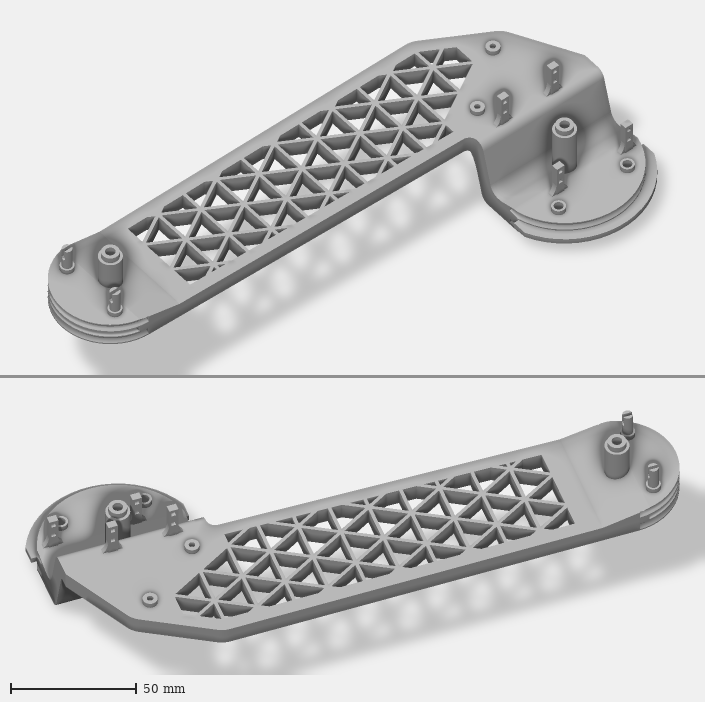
import cadquery as cq
import math

arm_z = 25.0
arm_thickness = 7.5
arm_top = arm_z + arm_thickness
plate_thickness = 4.5
core_thickness = 2.5
end_thickness = 2 * plate_thickness + core_thickness
hand_top_z = arm_z + end_thickness

hand_radius = 25.0
hand_x = hand_radius
hand_y = hand_radius
hand_chord_offset = 5.0
hand_ramp_length = 20.0
hand_chord_y = hand_y - hand_chord_offset
hand_ramp_y = hand_chord_y + hand_ramp_length
hand_core_radius = 19.5

arm_width = 2 * hand_radius
arm_elbow_x = 54.1
shoulder_low = (0.0, 201.0)
shoulder_mid = (18.6, 233.2)
shoulder_high_x = 50.0
shoulder_radius = 10.0
elbow_radius = 4.0

foot_x = 75.0
foot_y = 218.85
foot_radius = 32.3
foot_half_width = 31.2
foot_chord_offset = 8.0
foot_chord_x = foot_x + foot_chord_offset
foot_core_radius = 37.0
foot_core_half_width = 33.54
foot_core_gap = 0.8
foot_core_x = foot_chord_x + foot_core_gap
foot_low_y = foot_y - foot_half_width
foot_high_y = foot_y + foot_half_width

leg_lean = 15.0
leg_outer_x = 55.0
leg_inner_x = 61.1
leg_floor = 9.0
leg_ramp_x = 72.8
leg_ramp_end_x = 81.9
leg_bend_radius = 4.2
leg_inner_radius = 5.0
leg_ramp_radius = 8.0
leg_notch_radius = 1.5

groove_mouth = 3.3
groove_floor = 0.9
groove_depth = 1.6
hand_groove_lead = 0.7
foot_groove_lead = 3.5

lattice_rib = 1.5
lattice_smallest_hole = 0.6
lattice_row = 15.0
lattice_pitch = lattice_row / math.sin(math.radians(60))
lattice_base_y = 49.0
lattice_rows = 11
lattice_node_x = 16.4
lattice_border = 6.0
lattice_right_border = 5.6

post_diameter = 10.0
post_neck_diameter = 7.6
post_neck_height = 2.65
post_bore = 4.2
post_bore_depth = 10.0
post_root = 1.0
hand_post_height = 16.0
foot_post_height = 23.0

pin_spread = 15.0
pin_setback = 10.0
pin_y = hand_y - pin_setback
pin_diameter = 4.4
pin_height = 12.2
pin_slot_width = 1.4
pin_slot_depth = 5.3
pin_keyhole_diameter = 2.1

boss_diameter = 6.0
boss_height = 2.3
arm_boss_bore = 2.6
arm_bosses = [(24.4, 223.5), (45.6, 198.0)]
foot_hole_diameter = 4.0
foot_hole_offset = 17.8

clip_thickness = 3.1
clip_width = 3.9
clip_height = 14.8
clip_window = 1.9
clip_window_drops = [2.3, 8.0]
clip_flare_thickness = 2.3
clip_flare_height = 5.0
clip_flare_width = 8.4
clip_flare_bulge_reach = 0.8
clip_flare_bulge_height = 2.0
arm_clip_x = 56.4
arm_clip_ys = [202.3, 228.1]
foot_clip_x = 84.7
foot_clip_ys = [207.6, 243.0]


def arm_right_x(y):
    """Right edge of the tapered arm at a given y."""
    return arm_width + (arm_elbow_x - arm_width) * (y - hand_y) / (foot_low_y - hand_y)


def box(x0, x1, y0, y1, z0, z1):
    return cq.Workplane("XY").box(x1 - x0, y1 - y0, z1 - z0, centered=False).translate((x0, y0, z0))


def disc(x, y, z, diameter, height):
    return cq.Workplane("XY", origin=(x, y, z)).circle(diameter / 2).extrude(height)


def plan_prism(z0, z1):
    """Arm and leg outline seen from above, from the hand to the foot chord."""
    corners = [shoulder_low, shoulder_mid, (arm_elbow_x, foot_low_y)]
    radii = [shoulder_radius, shoulder_radius, elbow_radius]
    prism = (
        cq.Workplane("XY", origin=(0, 0, z0))
        .moveTo(0, hand_y)
        .threePointArc((hand_x, hand_y - hand_radius), (arm_width, hand_y))
        .lineTo(arm_elbow_x, foot_low_y)
        .lineTo(foot_chord_x, foot_low_y)
        .lineTo(foot_chord_x, foot_high_y)
        .lineTo(shoulder_high_x, foot_high_y)
        .lineTo(*shoulder_mid)
        .lineTo(*shoulder_low)
        .close()
        .extrude(z1 - z0)
    )
    for (x, y), radius in zip(corners, radii):
        prism = prism.edges(cq.NearestToPointSelector((x, y, (z0 + z1) / 2))).fillet(radius)
    return prism


def leg_section():
    """Side section of arm and leg, as a prism along the whole length."""
    lean = math.tan(math.radians(leg_lean))
    outer_low = (leg_outer_x + lean * arm_z, 0)
    inner_low = (leg_inner_x + lean * (arm_top - leg_floor), leg_floor)
    section = (
        cq.Workplane("XZ")
        .polyline(
            [
                (0, arm_z),
                (leg_outer_x, arm_z),
                outer_low,
                (foot_chord_x, 0),
                (foot_chord_x, end_thickness),
                (leg_ramp_end_x, end_thickness),
                (leg_ramp_x, leg_floor),
                inner_low,
                (leg_inner_x, arm_top),
                (0, arm_top),
            ]
        )
        .close()
        .extrude(-foot_high_y)
    )
    bends = [
        ((leg_outer_x, arm_z), leg_notch_radius),
        (outer_low, leg_bend_radius),
        (inner_low, leg_inner_radius),
        ((leg_ramp_x, leg_floor), leg_ramp_radius),
        ((leg_ramp_end_x, end_thickness), leg_ramp_radius),
        ((leg_inner_x, arm_top), leg_bend_radius),
    ]
    for (x, z), radius in bends:
        section = section.edges(cq.NearestToPointSelector((x, foot_high_y / 2, z))).fillet(radius)
    return section


def hand_thickening():
    """Ramp and raised face that bring the hand to its full thickness."""
    wedge = (
        cq.Workplane("YZ")
        .polyline(
            [
                (0, arm_z),
                (0, hand_top_z),
                (hand_chord_y, hand_top_z),
                (hand_ramp_y, arm_top),
                (hand_ramp_y, arm_z),
            ]
        )
        .close()
        .extrude(foot_chord_x)
    )
    return plan_prism(arm_z, hand_top_z).intersect(wedge)


def foot_plates():
    plates = disc(foot_x, foot_y, 0, 2 * foot_radius, end_thickness)
    reach = foot_x + foot_core_radius
    return plates.intersect(box(foot_chord_x, reach, 0, 2 * foot_y, 0, end_thickness))


def foot_core():
    """Thin middle disc that stands out beyond the foot plates."""
    core = disc(foot_x, foot_y, plate_thickness, 2 * foot_core_radius, core_thickness)
    low = foot_y - foot_core_half_width
    high = foot_y + foot_core_half_width
    return core.intersect(box(foot_core_x, foot_x + foot_core_radius, low, high, 0, end_thickness))


def flat_ring(x, y, z, outer_radius, inner_radius, height):
    profile = cq.Workplane("XY", origin=(x, y, z)).circle(outer_radius).circle(inner_radius)
    return profile.extrude(height)


def v_groove(x, y, middle_z, radius):
    """Ring with a flat-bottomed V section, narrowing inward from the rim at the given radius."""
    half_mouth = groove_mouth / 2
    half_floor = groove_floor / 2
    floor_radius = radius - groove_depth
    ring = (
        cq.Workplane("XZ")
        .polyline(
            [
                (floor_radius, -half_floor),
                (radius, -half_mouth),
                (2 * radius, -half_mouth),
                (2 * radius, half_mouth),
                (radius, half_mouth),
                (floor_radius, half_floor),
            ]
        )
        .close()
        .revolve(360, (0, 0, 0), (0, 1, 0))
    )
    return ring.translate((x, y, middle_z))


def plate_grooves(x, y, base_z, radius, keep):
    """Grooves at mid-thickness of both plates of one end, within the keep box."""
    low_z = base_z + plate_thickness / 2
    high_z = base_z + end_thickness - plate_thickness / 2
    low = v_groove(x, y, low_z, radius).intersect(keep)
    high = v_groove(x, y, high_z, radius).intersect(keep)
    return low.union(high)


def hand_cuts():
    grooves_keep = box(-arm_width, 2 * arm_width, -arm_width, hand_y - hand_groove_lead, arm_z, hand_top_z)
    gap_keep = box(-arm_width, 2 * arm_width, -arm_width, hand_chord_y, arm_z, hand_top_z)
    gap_z = arm_z + plate_thickness
    gap = flat_ring(hand_x, hand_y, gap_z, 2 * hand_radius, hand_core_radius, core_thickness)
    grooves = plate_grooves(hand_x, hand_y, arm_z, hand_radius, grooves_keep)
    return grooves.union(gap.intersect(gap_keep))


def foot_grooves():
    keep = box(foot_x + foot_groove_lead, 2 * foot_x, 0, 2 * foot_y, 0, end_thickness)
    return plate_grooves(foot_x, foot_y, 0, foot_radius, keep)


def lattice_node(row, column):
    """Crossing point of the lattice ribs; every other row is shifted by half a pitch."""
    shift = (row % 2) * lattice_pitch / 2
    return lattice_node_x + shift + column * lattice_pitch, lattice_base_y + row * lattice_row


def rib(start, end):
    length = math.dist(start, end)
    angle = math.degrees(math.atan2(end[1] - start[1], end[0] - start[0]))
    bar = box(0, length, -lattice_rib / 2, lattice_rib / 2, arm_z, arm_top)
    return bar.rotate((0, 0, 0), (0, 0, 1), angle).translate((start[0], start[1], 0))


def lattice_opening():
    """Window in the arm, bounded by the borders and by one lattice diagonal."""
    top_node = lattice_node(lattice_rows, 0)
    corner_node = lattice_node(lattice_rows - 2, 1)
    edge_dx = shoulder_mid[0] - shoulder_low[0]
    edge_dy = shoulder_mid[1] - shoulder_low[1]
    border_shift = lattice_border * math.hypot(edge_dx, edge_dy) / edge_dy
    left_top_y = shoulder_low[1] + (lattice_border - border_shift) * edge_dy / edge_dx
    top_left_x = border_shift + (top_node[1] - shoulder_low[1]) * edge_dx / edge_dy
    outline = [
        (lattice_border, lattice_base_y),
        (arm_right_x(lattice_base_y) - lattice_right_border, lattice_base_y),
        (arm_right_x(corner_node[1]) - lattice_right_border, corner_node[1]),
        corner_node,
        top_node,
        (top_left_x, top_node[1]),
        (lattice_border, left_top_y),
    ]
    return cq.Workplane("XY", origin=(0, 0, arm_z)).polyline(outline).close().extrude(arm_thickness)


def lattice_holes():
    holes = lattice_opening()
    for row in range(lattice_rows + 1):
        y = lattice_base_y + row * lattice_row
        holes = holes.cut(rib((0, y), (arm_elbow_x, y)))
    half_run = lattice_rows * lattice_pitch / 2
    top_y = lattice_base_y + lattice_rows * lattice_row
    columns_right = math.ceil((arm_width + half_run) / lattice_pitch)
    columns_left = math.ceil(half_run / lattice_pitch)
    for column in range(-columns_left, columns_right):
        x = lattice_node(0, column)[0]
        for run in (half_run, -half_run):
            holes = holes.cut(rib((x, lattice_base_y), (x + run, top_y)))
    smallest_volume = lattice_smallest_hole * arm_thickness
    kept = [hole for hole in holes.solids().vals() if hole.Volume() > smallest_volume]
    return cq.Workplane("XY").newObject([cq.Compound.makeCompound(kept)])


def post(x, y, base_z, top_z):
    shoulder_z = top_z - post_neck_height
    body = disc(x, y, base_z, post_diameter, shoulder_z - base_z)
    body = body.union(disc(x, y, shoulder_z, post_neck_diameter, post_neck_height))
    return body.cut(disc(x, y, top_z - post_bore_depth, post_bore, post_bore_depth))


def split_pin(x, y, z):
    """Flanged snap pin with a keyhole slot across its tip."""
    tip_z = z + pin_height
    pin = disc(x, y, z, boss_diameter, boss_height).union(disc(x, y, z, pin_diameter, pin_height))
    half_slot = pin_slot_width / 2
    half_pin = pin_diameter / 2
    pin = pin.cut(box(x - half_slot, x + half_slot, y - half_pin, y + half_pin, tip_z - pin_slot_depth, tip_z))
    keyhole_z = tip_z - pin_slot_depth + pin_keyhole_diameter / 2
    keyhole = cq.Workplane("XZ", origin=(x, y + half_pin, keyhole_z)).circle(pin_keyhole_diameter / 2)
    return pin.cut(keyhole.extrude(pin_diameter))


def clip(x, y, z):
    """Upright tab with two windows and a flared root."""
    half_width = clip_width / 2
    half_flare = clip_flare_width / 2
    tab = box(
        x - clip_thickness / 2, x + clip_thickness / 2, y - half_width, y + half_width, z, z + clip_height
    )
    for drop in clip_window_drops:
        window = cq.Workplane("XY").box(2 * clip_thickness, clip_window, clip_window)
        tab = tab.cut(window.translate((x, y, z + clip_height - drop)))
    bulge = (half_width + clip_flare_bulge_reach, clip_flare_bulge_height)
    flare = (
        cq.Workplane("YZ", origin=(x - clip_flare_thickness / 2, y, z))
        .moveTo(-half_flare, 0)
        .lineTo(half_flare, 0)
        .threePointArc(bulge, (half_width, clip_flare_height))
        .lineTo(-half_width, clip_flare_height)
        .threePointArc((-bulge[0], bulge[1]), (-half_flare, 0))
        .close()
        .extrude(clip_flare_thickness)
    )
    return tab.union(flare)


body = plan_prism(0, hand_top_z).intersect(leg_section())
body = body.union(hand_thickening()).union(foot_plates())
body = body.cut(hand_cuts()).cut(foot_grooves()).union(foot_core())
body = body.cut(lattice_holes())

body = body.union(post(hand_x, hand_y, arm_top, hand_top_z + hand_post_height))
body = body.union(post(foot_x, foot_y, leg_floor - post_root, end_thickness + foot_post_height))

for side in (-1, 1):
    body = body.union(split_pin(hand_x + side * pin_spread, pin_y, hand_top_z))

for boss_x, boss_y in arm_bosses:
    body = body.union(disc(boss_x, boss_y, arm_top, boss_diameter, boss_height))
    body = body.cut(disc(boss_x, boss_y, arm_top, arm_boss_bore, boss_height))

for side in (-1, 1):
    hole_x = foot_x + foot_hole_offset
    hole_y = foot_y + side * foot_hole_offset
    body = body.union(disc(hole_x, hole_y, end_thickness, boss_diameter, boss_height))
    body = body.cut(disc(hole_x, hole_y, 0, foot_hole_diameter, end_thickness + boss_height))

for clip_y in arm_clip_ys:
    body = body.union(clip(arm_clip_x, clip_y, arm_top))
for clip_y in foot_clip_ys:
    body = body.union(clip(foot_clip_x, clip_y, end_thickness))

result = body